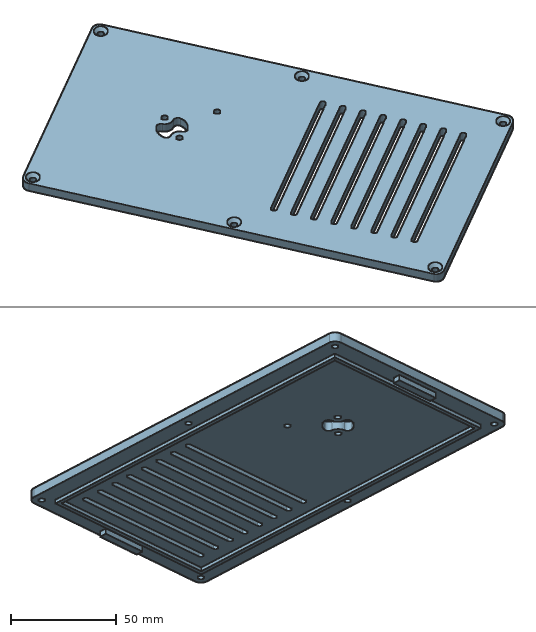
import cadquery as cq

PLATE_LENGTH = 209.5
PLATE_WIDTH = 114.0
PLATE_THICKNESS = 5.0
CORNER_RADIUS = 4.0

LIP_LENGTH = 190.6
LIP_WIDTH = 96.0
LIP_HEIGHT = 2.0
LIP_THICKNESS = 2.0
TAB_LENGTH = 4.0
TAB_WIDTH = 24.0
TAB_HEIGHT = 3.0

SCREW_INSET = 4.6
SCREW_HOLE_DIAMETER = 3.1
COUNTERSINK_DIAMETER = 6.7
COUNTERSINK_ANGLE = 90.0
SCREW_X = PLATE_LENGTH / 2 - SCREW_INSET
SCREW_Y = PLATE_WIDTH / 2 - SCREW_INSET

SLOT_COUNT = 8
FIRST_SLOT_X = 15.0
LAST_SLOT_X = 85.0
SLOT_PITCH = (LAST_SLOT_X - FIRST_SLOT_X) / (SLOT_COUNT - 1)
SLOT_WIDTH = 3.0
SLOT_LENGTH = 78.4

OPENING_X = -47.8
OPENING_RADIUS = 7.5
LOBE_OFFSET = 5.5
LOBE_RADIUS = 4.5
LOBE_CORNER_RADIUS = 2.3
PIN_HOLE_DIAMETER = 3.1
SIDE_HOLE_OFFSET = 17.0

LOBE_CENTRES = [
    (OPENING_X - LOBE_OFFSET, LOBE_OFFSET),
    (OPENING_X + LOBE_OFFSET, -LOBE_OFFSET),
]
SIDE_HOLE_CENTRE = (OPENING_X + SIDE_HOLE_OFFSET, SIDE_HOLE_OFFSET)


def make_body():
    """Rounded plate with its top at Z = 0, plus the lip and end tabs below it."""
    underside = cq.Workplane("XY").workplane(offset=-PLATE_THICKNESS)
    plate = underside.rect(PLATE_LENGTH, PLATE_WIDTH).extrude(PLATE_THICKNESS)
    plate = plate.edges("|Z").fillet(CORNER_RADIUS)
    lip = underside.rect(LIP_LENGTH, LIP_WIDTH).extrude(-LIP_HEIGHT)
    lip = lip.faces("<Z or >Z").shell(-LIP_THICKNESS)
    tabs = (
        underside.pushPoints([(-SCREW_X, 0), (SCREW_X, 0)])
        .rect(TAB_LENGTH, TAB_WIDTH)
        .extrude(-TAB_HEIGHT)
    )
    return plate.union(lip).union(tabs)


def cut_screw_holes(body):
    centres = [(x, y) for x in (-SCREW_X, 0, SCREW_X) for y in (-SCREW_Y, SCREW_Y)]
    return (
        body.faces(">Z")
        .workplane(origin=(0, 0, 0))
        .pushPoints(centres)
        .cskHole(SCREW_HOLE_DIAMETER, COUNTERSINK_DIAMETER, COUNTERSINK_ANGLE)
    )


def make_slots():
    centres = [(FIRST_SLOT_X + i * SLOT_PITCH, 0) for i in range(SLOT_COUNT)]
    return (
        cq.Workplane("XY")
        .pushPoints(centres)
        .slot2D(SLOT_LENGTH, SLOT_WIDTH, 90)
        .extrude(-PLATE_THICKNESS)
    )


def make_opening():
    """Disc minus the two lobes, with the four sharp corners rounded."""
    disc = cq.Workplane("XY").center(OPENING_X, 0).circle(OPENING_RADIUS).extrude(-PLATE_THICKNESS)
    lobes = cq.Workplane("XY").pushPoints(LOBE_CENTRES).circle(LOBE_RADIUS).extrude(-PLATE_THICKNESS)
    lens = disc.cut(lobes)
    return lens.edges("|Z").fillet(LOBE_CORNER_RADIUS)


def make_pin_holes():
    return (
        cq.Workplane("XY")
        .pushPoints(LOBE_CENTRES + [SIDE_HOLE_CENTRE])
        .circle(PIN_HOLE_DIAMETER / 2)
        .extrude(-PLATE_THICKNESS)
    )


result = cut_screw_holes(make_body())
result = result.cut(make_slots()).cut(make_opening()).cut(make_pin_holes())